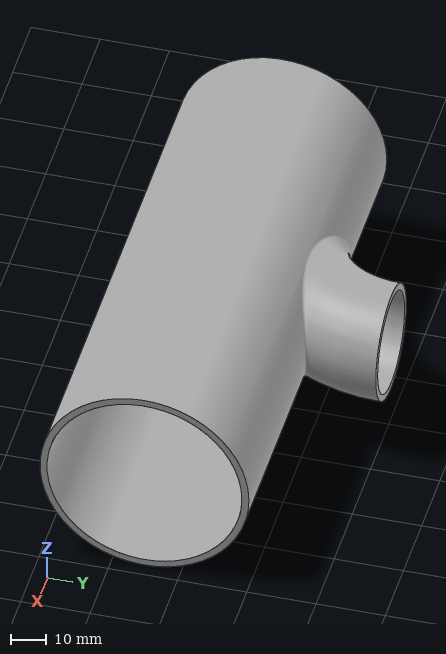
import cadquery as cq

run_length = 152.0
run_diameter = 60.3
run_bore = 56.2
wall = (run_diameter - run_bore) / 2

branch_diameter = 33.7
branch_bore = branch_diameter - 2 * wall
overall_width = 81.5
branch_reach = overall_width - run_diameter / 2
bend_radius = 38.2
bend_angle = 90.0

weld_radius = 0.8


def rod(diameter):
    """Solid round bar along the full length of the run pipe."""
    return cq.Workplane("YZ", origin=(-run_length / 2, 0, 0)).circle(diameter / 2).extrude(run_length)


def bend(diameter):
    """Solid round elbow that starts at the branch mouth and curves into the run pipe."""
    mouth = cq.Workplane("XZ", origin=(0, branch_reach, 0)).circle(diameter / 2)
    return mouth.revolve(bend_angle, (-bend_radius, 1.5, 0), (-bend_radius, -1.5, 0))


seam = cq.selectors.TypeSelector("BSPLINE")
outside = rod(run_diameter).union(bend(branch_diameter)).edges(seam).fillet(weld_radius)

result = outside.cut(rod(run_bore)).cut(bend(branch_bore))